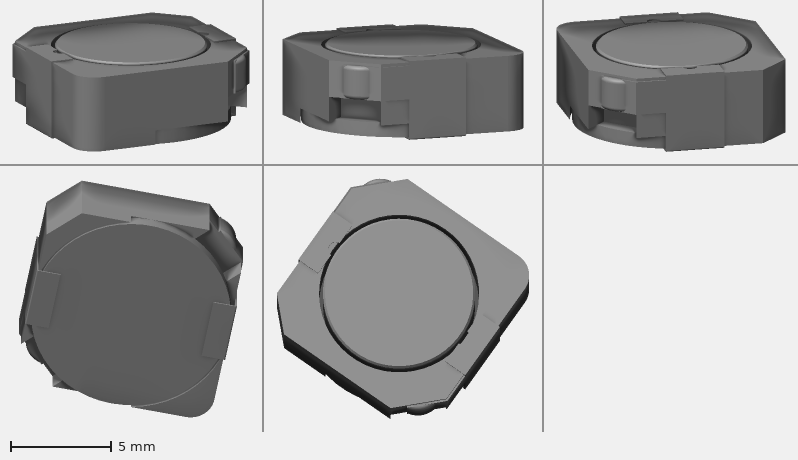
import cadquery as cq
import math


overall_length = 10.2
overall_height = 4.0
body_width = 10.01
half_width = body_width / 2
sheet = (overall_length - body_width) / 2
tab_sheet = 0.08
body_bottom = tab_sheet
body_top = overall_height - tab_sheet

wire_chamfer = 2.0
plain_chamfer = 1.5
corner_radius = 1.2

core_radius = 3.8
core_chamfer = 0.1
bore_radius = 4.0
flange_radius = 5.0
flange_top = 0.82
flange_clearance_radius = 5.1

recess_depth = 1.48
recess_top = 2.06

tab_width = 3.0
tab_inner_y = 3.9
tab_hole_radius = 0.37
tab_bend_radius = 0.07
wing_bottom = recess_top
wing_top = 3.76
wing_end_offset = 0.59

clamp_half_chord = 0.71
clamp_rise = 0.22
clamp_end_round = 0.21

chamfer_distance = (body_width - wire_chamfer) / math.sqrt(2)
wing_face_distance = chamfer_distance + sheet
diagonal_angle = 45
opposite = 180


def turn_about_z(shape, angle):
    return shape.rotate((0, 0, 0), (0, 0, 1), angle)


def to_wire_corner(shape):
    """Turn a shape built toward -Y so that it points to the (-X, -Y) corner."""
    return turn_about_z(shape, -diagonal_angle)


def block(x_range, y_range, z_range):
    """Box between two limits on each axis."""
    (x0, x1), (y0, y1), (z0, z1) = x_range, y_range, z_range
    return cq.Workplane("XY").box(x1 - x0, y1 - y0, z1 - z0, centered=False).translate((x0, y0, z0))


def disc(radius, z0, z1):
    return cq.Workplane("XY").workplane(offset=z0).circle(radius).extrude(z1 - z0)


def make_shield():
    """Square block with three chamfered corners and one round corner."""
    shield = block((-half_width, half_width), (-half_width, half_width), (body_bottom, body_top))
    shield = shield.edges("|Z and >X and <Y").fillet(corner_radius)
    shield = shield.edges("|Z and <X and >Y").chamfer(plain_chamfer)
    return shield.edges("|Z and (<(1,1,0) or >(1,1,0))").chamfer(wire_chamfer)


def make_corner_undercut():
    """Open foot of a wire corner, which leaves the flange in sight."""
    reach = (-overall_length, 0)
    return block(reach, reach, (body_bottom, flange_top))


def make_wire_recess():
    """Pocket as wide as the wire corner, between the flange and the wing."""
    half_recess = wire_chamfer / math.sqrt(2)
    return to_wire_corner(block(
        (-half_recess, half_recess),
        (-overall_length, recess_depth - chamfer_distance),
        (flange_top, recess_top),
    ))


def make_body():
    """Shield block joined to the flanged core, with the ring gap between them."""
    body = make_shield()
    for cutter in (make_corner_undercut(), make_wire_recess()):
        body = body.cut(cutter).cut(turn_about_z(cutter, opposite))
    body = body.cut(disc(flange_clearance_radius, body_bottom, flange_top))
    body = body.cut(disc(bore_radius, flange_top, body_top))
    core = disc(core_radius, body_bottom, overall_height).faces(">Z").chamfer(core_chamfer)
    flange = disc(flange_radius, body_bottom, flange_top)
    return body.union(flange).union(core)


def make_clip():
    """C-shaped clip around the middle of the -Y side of the body."""
    half_tab = tab_width / 2
    clip = block((-half_tab, half_tab), (-overall_length / 2, -tab_inner_y), (0, overall_height))
    clip = clip.edges("|X and <Y and <Z").fillet(tab_bend_radius)
    clip = clip.cut(block((-half_tab, half_tab), (-half_width, 0), (body_bottom, body_top)))
    tab_hole = disc(tab_hole_radius, body_top, overall_height).translate((0, -tab_inner_y, 0))
    return clip.cut(tab_hole)


def make_wing():
    """Strip from the clip along the -Y side and round onto the wire corner."""
    bend = sheet * math.tan(math.radians(diagonal_angle / 2))
    corner_x = -half_width + wire_chamfer
    end_inner = ((-chamfer_distance - wing_end_offset) / math.sqrt(2),
                 (-chamfer_distance + wing_end_offset) / math.sqrt(2))
    end_outer = (end_inner[0] - sheet / math.sqrt(2), end_inner[1] - sheet / math.sqrt(2))
    outline = [
        (0, -half_width),
        (corner_x, -half_width),
        end_inner,
        end_outer,
        (corner_x - bend, -overall_length / 2),
        (0, -overall_length / 2),
    ]
    wing = cq.Workplane("XY").workplane(offset=wing_bottom).polyline(outline).close()
    return wing.extrude(wing_top - wing_bottom)


def make_clamp():
    """Segment of a cylinder with rounded ends, standing out of the wing."""
    radius = (clamp_half_chord ** 2 + clamp_rise ** 2) / (2 * clamp_rise)
    clamp_x = clamp_half_chord - wing_end_offset
    cylinder = disc(radius, wing_bottom, wing_top).faces("<Z or >Z").edges().fillet(clamp_end_round)
    cylinder = cylinder.translate((clamp_x, radius - clamp_rise - wing_face_distance, 0))
    outside = block(
        (-half_width, half_width),
        (-overall_length, -wing_face_distance),
        (wing_bottom, wing_top),
    )
    return to_wire_corner(cylinder.intersect(outside))


def make_terminal():
    return make_clip().union(make_wing()).union(make_clamp())


body = make_body()
terminals = []
for turn in (0, opposite):
    terminals.append(turn_about_z(make_terminal(), turn))

result = cq.Compound.makeCompound([body.val(), *[terminal.val() for terminal in terminals]])